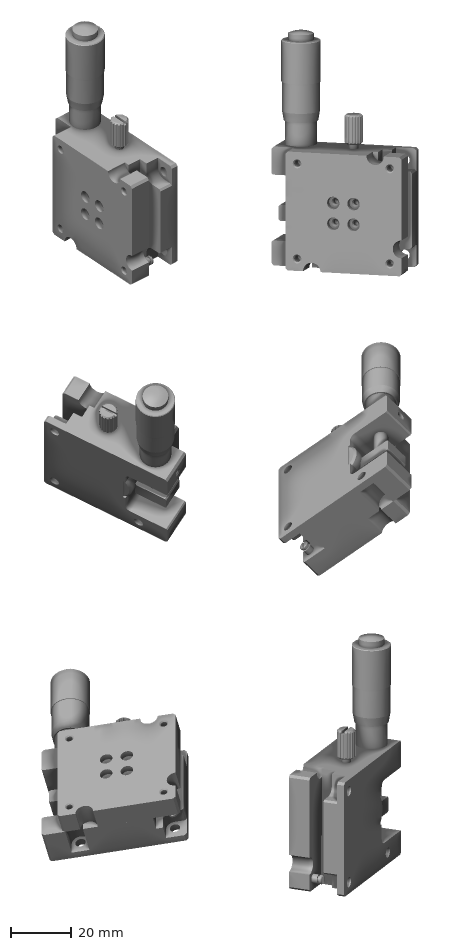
import cadquery as cq
import math


OVERALL_WIDTH = 47.0
OVERALL_HEIGHT = 78.65
OVERALL_DEPTH = 20.0
PLATE_SIZE = 40.0
PLATE_THICKNESS = 7.5
CORNER_CHAMFER = 0.8
EDGE_CHAMFER = 0.5

HALF = PLATE_SIZE / 2
TOP = HALF
BOTTOM = -HALF
RIGHT = HALF
BASE_LEFT = RIGHT - OVERALL_WIDTH
BACK = OVERALL_DEPTH
MICROMETER_TOP = BOTTOM + OVERALL_HEIGHT
HOLE_PITCH = 32.0
CORNER_HOLE = HOLE_PITCH / 2

OPENING_TOP = 10.5
OPENING_BOTTOM = -11.6
OPENING_WALL_X = -11.0
OPENING_FILLET = 2.0
PAD_FRONT = 16.4
PAD_BACK = 19.65
PAD_CENTRE_Z = 0.6
PAD_HEIGHT = 10.2
PAD_BULGE = 2.0
PAD_CHAMFER = 0.7
PAD_RECESS_DEPTH = 0.95
SPRING_GAP_X = 9.75
SPRING_GAP_BACK = 12.5
SCREW_POCKET_RADIUS = 3.0
SCREW_POCKET_FLOOR = 17.45
SCREW_POCKET_CHAMFER = 0.6
RAIL_LIP = 0.95
RAIL_LIP_Z = -3.9
MOUNT_HOLE_RADIUS = 1.7
CLAMP_HOLE_Z = 15.25
CLAMP_HOLE_RADIUS = 1.1
CLAMP_HOLE_CHAMFER = 0.4

THUMBSCREW_Y = 11.95
THUMBSCREW_SHANK_RADIUS = 1.6
THUMBSCREW_SHANK_LENGTH = 1.6
THUMBSCREW_HEAD_RADIUS = 3.1
THUMBSCREW_HEAD_LENGTH = 9.9
THUMBSCREW_CHAMFER = 0.55
KNURL_COUNT = 16
KNURL_RADIUS = 0.275
THUMBSCREW_SLOT_WIDTH = 1.0
THUMBSCREW_SLOT_DEPTH = 1.0

POST_RADIUS = 1.6
POST_GROOVE_RADIUS = 1.0
POST_LENGTH = 3.5
POST_COLLAR_LENGTH = 2.0
POST_GROOVE_LENGTH = 0.6
POST_SLOT_WIDTH = 0.5
POST_SLOT_DEPTH = 0.4
POST_CHAMFER = 0.2
BASE_POST_X = 10.7
BASE_POST_Z = -6.3
CARRIAGE_POST_X = 16.9
CARRIAGE_POST_Z = -16.1

NOTCH_RADIUS = 3.0
NOTCH_OFFSET = 10.9
TAB_LEFT = -24.5
TAB_RIGHT = -12.6
TAB_TOP = 0.55
TAB_HEIGHT = 5.4
TAB_BACK = PAD_FRONT
CORNER_HOLE_RADIUS = 1.1
CORNER_HOLE_CHAMFER = 0.4
CORNER_HOLE_DEPTH = 4.7
CENTRE_PITCH = 7.0
COUNTERBORE_RADIUS = 2.1
COUNTERBORE_DEPTH = 2.3
CENTRE_HOLE_RADIUS = 0.8
CENTRE_HOLE_CHAMFER = 0.5
CENTRE_HOLE_DEPTH = 2.35
DRILL_POINT_ANGLE = 59.0

MICROMETER_X = -18.5
MICROMETER_Y = 13.0
SPINDLE_RADIUS = 2.4
SPINDLE_TIP_RADIUS = 0.95
SPINDLE_TIP_LENGTH = 0.95
NECK_RADIUS = 3.85
BARREL_RADIUS = 5.3
BARREL_BOTTOM = TOP + 0.4
CONE_BOTTOM_RADIUS = 5.75
CONE_BOTTOM = TOP + 8.4
THIMBLE_RADIUS = 6.3
THIMBLE_BOTTOM = TOP + 11.55
GRIP_RADIUS = 6.5
GRIP_BOTTOM = TOP + 21.5
GRIP_TOP = TOP + 35.5
GRIP_CHAMFER = 0.2
KNOB_RADIUS = 4.25
DOME_HEIGHT = 0.95


def box(x_range, y_range, z_range):
    """Box between two limits along each axis."""
    lengths = [high - low for low, high in (x_range, y_range, z_range)]
    corner = (x_range[0], y_range[0], z_range[0])
    return cq.Workplane("XY").box(*lengths, centered=False).translate(corner)


def rod_y(x, z, radius, y_start, y_end):
    """Cylinder along Y."""
    plane = cq.Workplane("XZ", origin=(x, y_start, z))
    return plane.circle(radius).extrude(y_start - y_end)


def turned(profile):
    """Solid of revolution about Z, from a half section of (radius, height) points."""
    return cq.Workplane("XZ").polyline(profile).close().revolve(360, (0, 0), (0, 1))


def blind_hole(x, z, radius, chamfer, y_start, depth):
    """Cutter for a chamfered hole bored along +Y that ends in a drill point."""
    point = radius / math.tan(math.radians(DRILL_POINT_ANGLE))
    profile = [
        (0, 0),
        (radius + chamfer, 0),
        (radius, chamfer),
        (radius, depth),
        (0, depth + point),
    ]
    return turned(profile).rotate((0, 0, 0), (1, 0, 0), -90).translate((x, y_start, z))


def spring_post(x, z, y_start, direction):
    """Grooved and slotted post standing on a face, pointing along +Y or -Y."""
    groove_start = y_start + direction * POST_COLLAR_LENGTH
    groove_end = groove_start + direction * POST_GROOVE_LENGTH
    tip = y_start + direction * POST_LENGTH
    slot_floor = tip - direction * POST_SLOT_DEPTH
    post = rod_y(x, z, POST_RADIUS, y_start, groove_start)
    post = post.union(rod_y(x, z, POST_GROOVE_RADIUS, groove_start, groove_end))
    head = rod_y(x, z, POST_RADIUS, groove_end, tip)
    head = head.faces(">Y" if direction > 0 else "<Y").chamfer(POST_CHAMFER)
    post = post.union(head)
    slot = box(
        (x - POST_SLOT_WIDTH / 2, x + POST_SLOT_WIDTH / 2),
        (min(slot_floor, tip), max(slot_floor, tip)),
        (z - POST_RADIUS, z + POST_RADIUS),
    )
    return post.cut(slot)


def thumbscrew():
    """Knurled, slotted head on a short shank rising from the top of the base."""
    head_bottom = TOP + THUMBSCREW_SHANK_LENGTH
    head_top = head_bottom + THUMBSCREW_HEAD_LENGTH
    shank = cq.Workplane("XY").circle(THUMBSCREW_SHANK_RADIUS).extrude(THUMBSCREW_SHANK_LENGTH)
    shank = shank.translate((0, THUMBSCREW_Y, TOP))
    head = cq.Workplane("XY").circle(THUMBSCREW_HEAD_RADIUS).extrude(THUMBSCREW_HEAD_LENGTH)
    head = head.faces("<Z or >Z").chamfer(THUMBSCREW_CHAMFER)
    knurls = (
        cq.Workplane("XY")
        .polarArray(THUMBSCREW_HEAD_RADIUS, 180 / KNURL_COUNT, 360, KNURL_COUNT)
        .circle(KNURL_RADIUS)
        .extrude(THUMBSCREW_HEAD_LENGTH)
    )
    head = head.cut(knurls).translate((0, THUMBSCREW_Y, head_bottom))
    slot = box(
        (-THUMBSCREW_HEAD_RADIUS, THUMBSCREW_HEAD_RADIUS),
        (THUMBSCREW_Y - THUMBSCREW_SLOT_WIDTH / 2, THUMBSCREW_Y + THUMBSCREW_SLOT_WIDTH / 2),
        (head_top - THUMBSCREW_SLOT_DEPTH, head_top),
    )
    return shank.union(head.cut(slot))


def base_opening():
    """Cutter for the side opening that the carriage tab moves in."""
    opening = box((BASE_LEFT, OPENING_WALL_X), (PLATE_THICKNESS, BACK), (OPENING_BOTTOM, OPENING_TOP))
    return opening.edges("|Y and >X").fillet(OPENING_FILLET)


def add_pad(base):
    """Add a pad with a convex face, standing in a recess in the wall of the opening."""
    low = PAD_CENTRE_Z - PAD_HEIGHT / 2
    high = PAD_CENTRE_Z + PAD_HEIGHT / 2
    recess_floor = OPENING_WALL_X + PAD_RECESS_DEPTH
    recess = box((OPENING_WALL_X, recess_floor), (PAD_FRONT, BACK), (low, high))
    pad = (
        cq.Workplane("XZ", origin=(0, PAD_BACK, 0))
        .moveTo(recess_floor, low)
        .lineTo(OPENING_WALL_X, low)
        .threePointArc((OPENING_WALL_X - PAD_BULGE, PAD_CENTRE_Z), (OPENING_WALL_X, high))
        .lineTo(recess_floor, high)
        .close()
        .extrude(PAD_BACK - PAD_FRONT)
        .edges(">Y and %CIRCLE")
        .chamfer(PAD_CHAMFER)
    )
    return base.cut(recess).union(pad)


def corner_pocket(side):
    """Cutter for a right-hand screw pocket, at the top (side 1) or the bottom (side -1)."""
    inner = CORNER_HOLE - SCREW_POCKET_RADIUS
    arc_mid = CORNER_HOLE - SCREW_POCKET_RADIUS * math.sqrt(0.5)
    return (
        cq.Workplane("XZ", origin=(0, PLATE_THICKNESS, 0))
        .moveTo(inner, side * TOP)
        .lineTo(inner, side * CORNER_HOLE)
        .threePointArc((arc_mid, side * arc_mid), (CORNER_HOLE, side * inner))
        .lineTo(RIGHT - SCREW_POCKET_CHAMFER, side * inner)
        .lineTo(RIGHT, side * (inner - SCREW_POCKET_CHAMFER))
        .lineTo(RIGHT, side * TOP)
        .close()
        .extrude(PLATE_THICKNESS - SCREW_POCKET_FLOOR)
    )


def slot_pocket():
    """Cutter for the bottom left screw pocket, a round-ended slot open at the bottom."""
    depth = (PLATE_THICKNESS, SCREW_POCKET_FLOOR)
    centre = -CORNER_HOLE
    sides = (centre - SCREW_POCKET_RADIUS, centre + SCREW_POCKET_RADIUS)
    return box(sides, depth, (BOTTOM, centre)).union(rod_y(centre, centre, SCREW_POCKET_RADIUS, *depth))


def rail_lip():
    """Small barb on the base wall beside the spring gap, its top sloping towards the wall."""
    outer = SPRING_GAP_X + RAIL_LIP
    return (
        cq.Workplane("XZ", origin=(0, SPRING_GAP_BACK, 0))
        .moveTo(SPRING_GAP_X, RAIL_LIP_Z)
        .lineTo(outer, RAIL_LIP_Z + RAIL_LIP)
        .lineTo(outer, BOTTOM)
        .lineTo(SPRING_GAP_X, BOTTOM)
        .close()
        .extrude(SPRING_GAP_BACK - PLATE_THICKNESS)
    )


def clamp_hole():
    """Cutter for the chamfered set-screw hole from the left face to the micrometer bore."""
    depth = MICROMETER_X - BASE_LEFT
    cutter = turned([
        (0, 0),
        (CLAMP_HOLE_RADIUS + CLAMP_HOLE_CHAMFER, 0),
        (CLAMP_HOLE_RADIUS, CLAMP_HOLE_CHAMFER),
        (CLAMP_HOLE_RADIUS, depth),
        (0, depth),
    ])
    cutter = cutter.rotate((0, 0, 0), (0, 1, 0), 90)
    return cutter.translate((BASE_LEFT, MICROMETER_Y, CLAMP_HOLE_Z))


def base_block():
    """Base block with its side opening, chamfered at the outer corners and opening mouth."""
    block = box((BASE_LEFT, RIGHT), (PLATE_THICKNESS, BACK), (BOTTOM, TOP))
    block = block.edges("|Y").chamfer(CORNER_CHAMFER)
    block = block.cut(base_opening())
    mouth = cq.selectors.BoxSelector(
        (BASE_LEFT - EDGE_CHAMFER, PLATE_THICKNESS, OPENING_BOTTOM - EDGE_CHAMFER),
        (BASE_LEFT + EDGE_CHAMFER, BACK, OPENING_TOP + EDGE_CHAMFER),
    )
    return block.edges(mouth).edges("|Y").chamfer(EDGE_CHAMFER)


def make_base():
    base = add_pad(base_block())
    base = base.cut(box((SPRING_GAP_X, RIGHT), (PLATE_THICKNESS, SPRING_GAP_BACK), (BOTTOM, TOP)))
    base = base.union(rail_lip())
    for pocket in (corner_pocket(1), corner_pocket(-1), slot_pocket()):
        base = base.cut(pocket)
    mount_holes = (
        (CORNER_HOLE, CORNER_HOLE),
        (CORNER_HOLE, -CORNER_HOLE),
        (-CORNER_HOLE, -CORNER_HOLE),
    )
    for x, z in mount_holes:
        base = base.cut(rod_y(x, z, MOUNT_HOLE_RADIUS, SCREW_POCKET_FLOOR, BACK))
    bore = cq.Workplane("XY", origin=(MICROMETER_X, MICROMETER_Y, OPENING_TOP))
    base = base.cut(bore.circle(NECK_RADIUS).extrude(TOP - OPENING_TOP))
    base = base.cut(clamp_hole())
    base = base.union(spring_post(BASE_POST_X, BASE_POST_Z, SPRING_GAP_BACK, -1))
    return base.union(thumbscrew()).solids()


def square_corners(pitch):
    """Corner points (x, z) of a square centred on the carriage plate."""
    half = pitch / 2
    return [(x, z) for x in (-half, half) for z in (-half, half)]


def corner_hole(x, z):
    """Cutter for a blind corner hole of the carriage plate."""
    return blind_hole(x, z, CORNER_HOLE_RADIUS, CORNER_HOLE_CHAMFER, 0, CORNER_HOLE_DEPTH)


def counterbored_hole(x, z):
    """Cutter for a blind counterbored hole near the middle of the carriage plate."""
    hole = blind_hole(x, z, CENTRE_HOLE_RADIUS, CENTRE_HOLE_CHAMFER, COUNTERBORE_DEPTH, CENTRE_HOLE_DEPTH)
    return hole.union(rod_y(x, z, COUNTERBORE_RADIUS, 0, COUNTERBORE_DEPTH))


def carriage_block():
    """Carriage plate with the tab that the spindle pushes on."""
    plate = box((-HALF, RIGHT), (0, PLATE_THICKNESS), (BOTTOM, TOP))
    plate = plate.edges("|Y").chamfer(CORNER_CHAMFER)
    tab = box((TAB_LEFT, TAB_RIGHT), (PLATE_THICKNESS, TAB_BACK), (TAB_TOP - TAB_HEIGHT, TAB_TOP))
    return plate.union(tab.edges("|Y and <X").chamfer(EDGE_CHAMFER))


def make_carriage():
    carriage = carriage_block()
    notches = (
        (NOTCH_OFFSET, TOP),
        (-NOTCH_OFFSET, BOTTOM),
        (RIGHT, -NOTCH_OFFSET),
    )
    for x, z in notches:
        carriage = carriage.cut(rod_y(x, z, NOTCH_RADIUS, 0, PLATE_THICKNESS))
    for x, z in square_corners(HOLE_PITCH):
        carriage = carriage.cut(corner_hole(x, z))
    for x, z in square_corners(CENTRE_PITCH):
        carriage = carriage.cut(counterbored_hole(x, z))
    return carriage.union(spring_post(CARRIAGE_POST_X, CARRIAGE_POST_Z, PLATE_THICKNESS, 1)).solids()


def make_micrometer():
    knob_top = MICROMETER_TOP - DOME_HEIGHT
    dome_radius = (KNOB_RADIUS**2 + DOME_HEIGHT**2) / (2 * DOME_HEIGHT)
    half_angle = math.asin(KNOB_RADIUS / dome_radius) / 2
    dome_mid = (
        dome_radius * math.sin(half_angle),
        MICROMETER_TOP - dome_radius * (1 - math.cos(half_angle)),
    )
    outline = [
        (SPINDLE_TIP_RADIUS, TAB_TOP),
        (SPINDLE_RADIUS, TAB_TOP + SPINDLE_TIP_LENGTH),
        (SPINDLE_RADIUS, OPENING_TOP),
        (NECK_RADIUS, OPENING_TOP),
        (NECK_RADIUS, BARREL_BOTTOM),
        (BARREL_RADIUS, BARREL_BOTTOM),
        (BARREL_RADIUS, CONE_BOTTOM),
        (CONE_BOTTOM_RADIUS, CONE_BOTTOM),
        (THIMBLE_RADIUS, THIMBLE_BOTTOM),
        (THIMBLE_RADIUS, GRIP_BOTTOM),
        (GRIP_RADIUS, GRIP_BOTTOM),
        (GRIP_RADIUS, GRIP_TOP - GRIP_CHAMFER),
        (GRIP_RADIUS - GRIP_CHAMFER, GRIP_TOP),
        (KNOB_RADIUS, GRIP_TOP),
        (KNOB_RADIUS, knob_top),
    ]
    half_section = cq.Workplane("XZ").moveTo(0, TAB_TOP)
    for point in outline:
        half_section = half_section.lineTo(*point)
    half_section = half_section.threePointArc(dome_mid, (0, MICROMETER_TOP)).close()
    return half_section.revolve(360, (0, 0), (0, 1)).translate((MICROMETER_X, MICROMETER_Y, 0))


base = make_base()
carriage = make_carriage()
micrometer = make_micrometer()

result = cq.Compound.makeCompound([base.val(), carriage.val(), micrometer.val()])